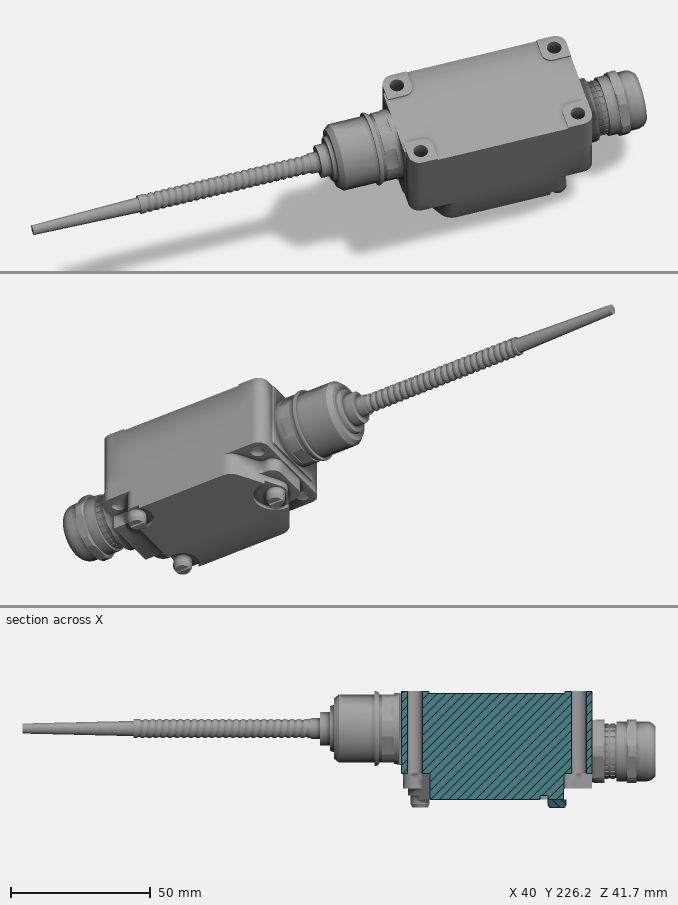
import cadquery as cq
import math


housing_width = 40.0
housing_length = 68.3
housing_corner_radius = 4.0
pad_top = 13.3
pad_step = 0.7
pad_size = 10.0
pad_fillet = 3.5
housing_bottom = -16.0
mount_hole_diameter = 5.2
mount_hole_spacing_x = 30.0
mount_hole_spacing_y = 58.5
boss_width = 27.0
boss_bottom = -13.1
boss_height = 0.7
boss_side_bevel = 0.5
boss_corner_bevel = 0.7

deck_bottom = -25.3
deck_rear = 24.0
deck_rear_radius = 3.5
deck_slope_angle = 30
deck_front = 31.7
deck_tip_radius = 4.8
deck_front_radius = 5.9
tongue_bottom = -21.5
front_tongue_half_width = 9.5
front_tongue_end = 33.5
front_tongue_radius = 3.8
front_tongue_root_radius = 2.3
rear_tongue_half_width = 10.6
rear_tongue_radius = 4.5
seat_level = -24.0
rear_seat_diameter = 12.0
front_seat_diameter = 16.0

screw_head_diameter = 6.8
screw_bottom = -28.3
screw_bevel_height = 1.4
screw_bevel_width = 0.7
screw_slot_width = 0.7
screw_slot_depth = 2.3
rear_screw_x = 15.4
rear_screw_y = 21.5
front_screw_y = -27.4

gland_z = -8.1
gland_length = 22.6
gland_diameter = 21.5
gland_mouth_diameter = 17.9
gland_round_length = 3.6
gland_nut_size = 22.6
gland_nut_diameter = 24.2
gland_nut_start = 12.5
gland_nut_length = 3.5
gland_collar_length = 4.3
gland_collar_straight = 3.2
gland_collar_taper = 10
gland_body_start = 8.5
claw_core_diameter = 19.2
claw_diameter = 20.0
claw_ring_length = 1.5
claw_gap = 0.7
claw_count = 24
claw_slot_width = 1.0
nut_chamfer = 0.5

head_flat_size = 24.5
head_flat_start = 2.5
head_flat_length = 4.3
head_base_diameter = 25.5
head_neck_start = 6.8
head_neck_diameter = 24.5
rim_start = 8.0
rim_diameter = 26.7
rim_slope = 1.0
rim_end = 9.5
cap_bevel_start = 22.2
cap_end = 24.0
cap_end_diameter = 21.5
step_end = 25.3
step_root_diameter = 17.0
step_diameter = 16.0
hub_end = 29.0
hub_diameter = 12.0
ferrule_end = 32.1
ferrule_diameter = 7.5

spring_diameter = 6.8
spring_end = 95.7
spring_pitch = 2.5
groove_width = 1.8
groove_depth = 0.5
rod_diameter = 5.5
rod_tip_diameter = 3.6
rod_taper_start = 96.8
rod_end = 135.3

half_width = housing_width / 2
half_length = housing_length / 2
roof = pad_top - pad_step
deck_slope = math.radians(deck_slope_angle)
deck_apex = deck_front + deck_tip_radius * (1 / math.cos(deck_slope) - 1)


def turned(steps):
    """Solid of revolution about the Y axis through (diameter, y) steps, closed on the axis."""
    points = [(diameter / 2, y) for diameter, y in steps]
    outline = [(0, steps[0][1])] + points + [(0, steps[-1][1])]
    return cq.Workplane("XY").polyline(outline).close().revolve(360, (0, 0, 0), (0, 1, 0))


def hex_prism(size, start, length, taper=0):
    """Hexagon along +Y with flats at top and bottom; size is the distance across the flats."""
    plane = cq.Plane(origin=(0, start, 0), xDir=(-1, 0, 0), normal=(0, 1, 0))
    return cq.Workplane(plane).polygon(6, size / math.cos(math.pi / 6)).extrude(length, taper=taper)


def box_between(x_range, y_range, z_range):
    size = [high - low for low, high in (x_range, y_range, z_range)]
    corner = (x_range[0], y_range[0], z_range[0])
    return cq.Workplane("XY").box(*size, centered=False).translate(corner)


def upper_block():
    """Box with four raised corner pads, a low front boss and the mounting holes."""
    height = roof - housing_bottom
    body = (
        cq.Workplane("XY", origin=(0, 0, housing_bottom))
        .rect(housing_width, housing_length)
        .extrude(height + pad_step)
        .edges("|Z")
        .fillet(housing_corner_radius)
    )
    sunk = box_between((-half_width, half_width), (-half_length, half_length), (roof, pad_top))
    for side in (-1, 1):
        for end in (-1, 1):
            pad = (
                cq.Workplane("XY", origin=(side * half_width, end * half_length, roof))
                .rect(2 * pad_size, 2 * pad_size)
                .extrude(pad_step)
                .edges("|Z")
                .fillet(pad_fillet)
            )
            sunk = sunk.cut(pad)
    body = body.cut(sunk)
    boss = (
        box_between(
            (-boss_width / 2, boss_width / 2),
            (-half_length - boss_height, -half_length),
            (boss_bottom, roof),
        )
        .edges("|Y and <Z")
        .chamfer(boss_corner_bevel)
        .faces("<Y")
        .edges("|Z")
        .chamfer(boss_side_bevel)
    )
    holes = (
        cq.Workplane("XY", origin=(0, 0, housing_bottom))
        .rect(mount_hole_spacing_x, mount_hole_spacing_y, forConstruction=True)
        .vertices()
        .circle(mount_hole_diameter / 2)
        .extrude(height + pad_step)
    )
    return body.union(boss).cut(holes)


def base_deck():
    """Stepped base under the housing: full width at the rear, a blunt point at the front."""
    shoulder = deck_apex - half_width * math.tan(deck_slope)
    deck = (
        cq.Workplane("XY", origin=(0, 0, deck_bottom))
        .polyline(
            [
                (-half_width, deck_rear),
                (half_width, deck_rear),
                (half_width, -shoulder),
                (0, -deck_apex),
                (-half_width, -shoulder),
            ]
        )
        .close()
        .extrude(housing_bottom - deck_bottom)
    )
    deck = deck.edges("|Z and >Y").fillet(deck_rear_radius)
    deck = deck.edges("|Z and <Y").fillet(deck_tip_radius)
    for side in (-1, 1):
        corner = cq.selectors.NearestToPointSelector((side * half_width, -shoulder, seat_level))
        deck = deck.edges(corner).fillet(deck_front_radius)
    return deck


def front_tongue():
    """Tongue in front of the deck point, with hollow fillets where it meets the sloping sides."""
    tongue = (
        box_between(
            (-front_tongue_half_width, front_tongue_half_width),
            (-front_tongue_end, 0),
            (tongue_bottom, housing_bottom),
        )
        .edges("|Z and <Y")
        .fillet(front_tongue_radius)
    )
    hollow_x = front_tongue_half_width + front_tongue_root_radius
    hollow_y = hollow_x * math.tan(deck_slope) - deck_apex
    hollow_y -= front_tongue_root_radius / math.cos(deck_slope)
    touch_x = hollow_x - front_tongue_root_radius * math.sin(deck_slope)
    root = box_between((-touch_x, touch_x), (hollow_y, 0), (tongue_bottom, housing_bottom))
    hollows = (
        cq.Workplane("XY", origin=(0, 0, tongue_bottom))
        .pushPoints([(side * hollow_x, hollow_y) for side in (-1, 1)])
        .circle(front_tongue_root_radius)
        .extrude(housing_bottom - tongue_bottom)
    )
    return tongue.union(root.cut(hollows))


def rear_tongue():
    """Tongue behind the deck, with hollow fillets around the rear mounting holes."""
    tongue = box_between(
        (-rear_tongue_half_width, rear_tongue_half_width),
        (0, half_length),
        (tongue_bottom, housing_bottom),
    )
    hollow_x = rear_tongue_half_width + rear_tongue_radius
    hollow_y = deck_rear + rear_tongue_radius
    root = box_between((-hollow_x, hollow_x), (deck_rear, hollow_y), (tongue_bottom, housing_bottom))
    hollows = (
        cq.Workplane("XY", origin=(0, 0, tongue_bottom))
        .pushPoints([(side * hollow_x, hollow_y) for side in (-1, 1)])
        .circle(rear_tongue_radius)
        .extrude(housing_bottom - tongue_bottom)
    )
    return tongue.union(root.cut(hollows))


def screw_seats():
    """Shallow recesses in the deck, each around a round post that carries a screw head."""
    low = cq.Workplane("XY", origin=(0, 0, deck_bottom))
    depth = seat_level - deck_bottom
    rear = low.pushPoints(screw_places[:2]).circle(rear_seat_diameter / 2).extrude(depth)
    front = low.pushPoints(screw_places[2:]).circle(front_seat_diameter / 2).extrude(depth)
    posts = low.pushPoints(screw_places).circle(screw_head_diameter / 2).extrude(depth)
    return rear.union(front).cut(posts)


def make_housing():
    base = base_deck().union(front_tongue()).union(rear_tongue()).cut(screw_seats())
    return upper_block().union(base)


def make_screw(place):
    head = (
        cq.Workplane("XY", origin=(*place, screw_bottom))
        .circle(screw_head_diameter / 2)
        .extrude(deck_bottom - screw_bottom)
        .faces("<Z")
        .chamfer(screw_bevel_height, screw_bevel_width)
    )
    slot = (
        cq.Workplane("XY", origin=(*place, screw_bottom))
        .rect(screw_slot_width, screw_head_diameter)
        .extrude(screw_slot_depth)
    )
    return head.cut(slot)


def gland_collar():
    tapered_length = gland_collar_length - gland_collar_straight
    straight = hex_prism(gland_nut_size, tapered_length, gland_collar_straight)
    tapered = hex_prism(gland_nut_size, tapered_length, -tapered_length, gland_collar_taper)
    limit = turned([(gland_nut_diameter, 0), (gland_nut_diameter, gland_collar_length)])
    return straight.union(tapered).intersect(limit.faces(">Y").chamfer(nut_chamfer))


def gland_nut():
    end = gland_nut_start + gland_nut_length
    limit = turned([(gland_nut_diameter, gland_nut_start), (gland_nut_diameter, end)])
    return hex_prism(gland_nut_size, gland_nut_start, gland_nut_length).intersect(
        limit.faces("<Y or >Y").chamfer(nut_chamfer)
    )


def gland_claws():
    """Two slotted rings on a plain core, between the collar and the gland body."""
    ring_gap_start = gland_collar_length + claw_ring_length
    ring_gap_end = ring_gap_start + claw_gap
    rings = turned([(claw_diameter, gland_collar_length), (claw_diameter, ring_gap_start)]).union(
        turned([(claw_diameter, ring_gap_end), (claw_diameter, ring_gap_end + claw_ring_length)])
    )
    slot_length = gland_body_start - gland_collar_length
    for index in range(claw_count):
        slot = (
            cq.Workplane("XY")
            .box(claw_slot_width, slot_length, claw_diameter / 2, centered=(True, False, False))
            .translate((0, gland_collar_length, 0))
            .rotate((0, 0, 0), (0, 1, 0), index * 360 / claw_count)
        )
        rings = rings.cut(slot)
    core = turned([(claw_core_diameter, gland_collar_length), (claw_core_diameter, gland_body_start)])
    return core.union(rings)


def gland_body():
    round_start = gland_length - gland_round_length
    return (
        cq.Workplane("XY")
        .moveTo(0, gland_body_start)
        .lineTo(gland_diameter / 2, gland_body_start)
        .lineTo(gland_diameter / 2, round_start)
        .tangentArcPoint((gland_mouth_diameter / 2, gland_length), relative=False)
        .lineTo(0, gland_length)
        .close()
        .revolve(360, (0, 0, 0), (0, 1, 0))
    )


def make_gland():
    gland = gland_collar().union(gland_claws()).union(gland_body()).union(gland_nut())
    return gland.translate((0, half_length, gland_z))


def spring_groove():
    """Left-hand helical V groove cut into the spring sleeve, built along +Z and turned to -Y."""
    length = spring_end - ferrule_end - spring_pitch
    radius = spring_diameter / 2
    path = cq.Wire.makeHelix(spring_pitch, length, radius, lefthand=True)
    clearance = groove_depth / 4
    slope = groove_width / 2 / groove_depth
    mouth = slope * (groove_depth + clearance)
    groove = (
        cq.Workplane("XZ")
        .polyline(
            [
                (radius - groove_depth, 0),
                (radius + clearance, mouth),
                (radius + clearance, -mouth),
            ]
        )
        .close()
        .sweep(cq.Workplane(path), isFrenet=True)
    )
    return groove.rotate((0, 0, 0), (1, 0, 0), 90).translate((0, -ferrule_end - spring_pitch / 2, 0))


def make_head():
    head = turned(
        [
            (head_base_diameter, -boss_height),
            (head_base_diameter, -head_neck_start),
            (head_neck_diameter, -head_neck_start),
            (head_neck_diameter, -rim_start),
            (head_base_diameter, -rim_start),
            (rim_diameter, -rim_start - rim_slope),
            (rim_diameter, -rim_end),
            (head_neck_diameter, -rim_end),
            (head_neck_diameter, -cap_bevel_start),
            (cap_end_diameter, -cap_end),
            (step_root_diameter, -cap_end),
            (step_diameter, -step_end),
            (hub_diameter, -step_end),
            (hub_diameter, -hub_end),
        ]
    )
    head_flat_end = head_flat_start + head_flat_length
    ring = turned([(rim_diameter, -head_flat_end), (rim_diameter, -head_flat_start)])
    flats = ring.cut(hex_prism(head_flat_size, -head_flat_start, -head_flat_length))
    return head.cut(flats).translate((0, -half_length, 0))


def make_rod():
    rod = turned(
        [
            (ferrule_diameter, -hub_end),
            (ferrule_diameter, -ferrule_end),
            (spring_diameter, -ferrule_end),
            (spring_diameter, -spring_end),
            (rod_diameter, -spring_end),
            (rod_diameter, -rod_taper_start),
            (rod_tip_diameter, -rod_end),
        ]
    )
    return rod.cut(spring_groove()).translate((0, -half_length, 0))


screw_places = [(-rear_screw_x, rear_screw_y), (rear_screw_x, rear_screw_y), (0, front_screw_y)]

housing = make_housing()
gland = make_gland()
head = make_head()
rod = make_rod()
screws = [make_screw(place) for place in screw_places]

result = cq.Compound.makeCompound(
    [housing.val(), gland.val(), head.val(), rod.val(), *[screw.val() for screw in screws]]
)